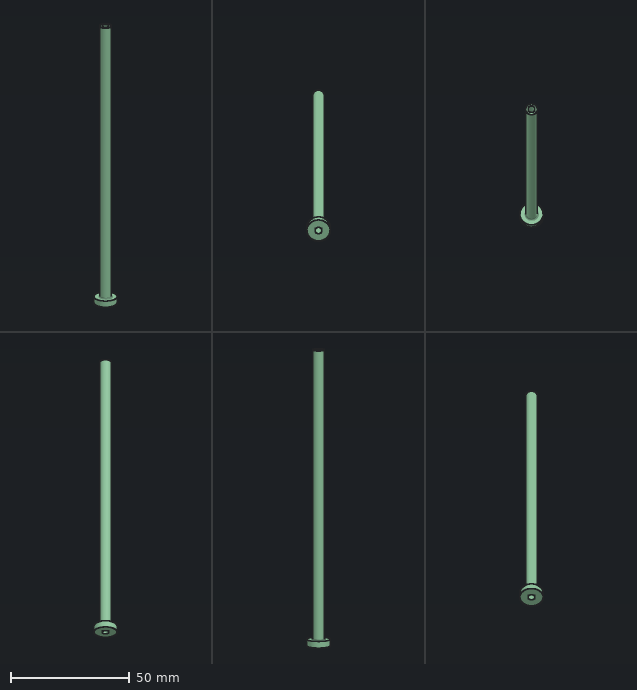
import cadquery as cq

total_length = 128.0
head_diameter = 10.0
head_height = 3.0
tube_diameter = 5.0
bore_diameter = 3.0
root_fillet = 0.3

head_radius = head_diameter / 2
tube_radius = tube_diameter / 2
bore_radius = bore_diameter / 2

half_section = (
    cq.Workplane("XZ")
    .moveTo(bore_radius, 0)
    .lineTo(head_radius, 0)
    .lineTo(head_radius, head_height)
    .lineTo(tube_radius + root_fillet, head_height)
    .radiusArc((tube_radius, head_height + root_fillet), root_fillet)
    .lineTo(tube_radius, total_length)
    .lineTo(bore_radius, total_length)
    .close()
)

result = half_section.revolve(360, (0, 0, 0), (0, 1, 0))